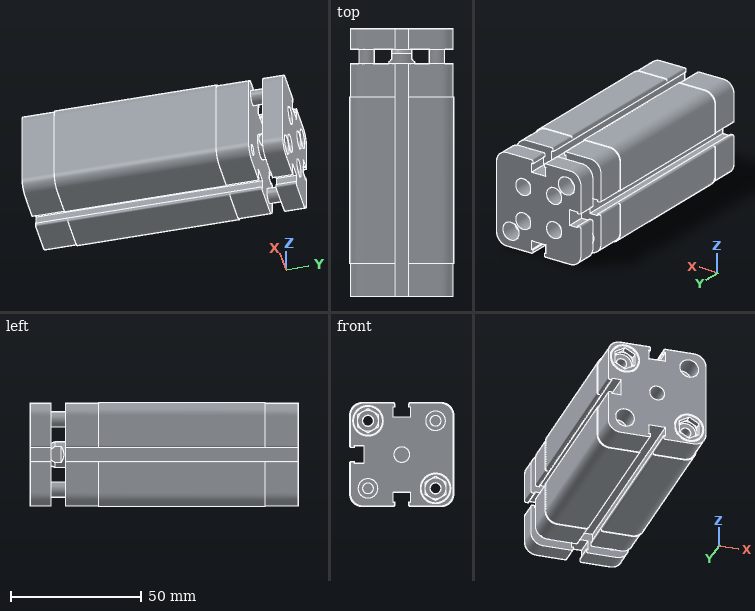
import cadquery as cq
import math


total_length = 103.0
cover_length = 12.8
plate_thickness = 8.0
gap_length = 5.5
barrel_length = total_length - 2 * cover_length - plate_thickness - gap_length

barrel_side = 40.1
cover_side = 39.6
corner_radius = 4.9
slot_floor = 14.5
slot_ledge = 18.2
slot_width = 6.6
slot_mouth = 5.4
lip_radius = 0.6
slot_angles = (0, 90, 180)

bolt_offset = 13.0
rod_offset = 13.5
rod_corners = ((1, 1), (-1, -1))
screw_corners = ((-1, 1), (1, -1))
all_corners = rod_corners + screw_corners
rod_diameter = 6.0
plate_hole_diameter = 7.5
mounting_hole_diameter = 7.0
mounting_hole_offset = 7.2
rod_bore_diameter = 7.5
rod_bore_depth = 9.3
pilot_diameter = 4.1
pilot_depth = 15.5
centre_hole_diameter = 6.0
centre_hole_depth = 10.3

screw_seat_diameter = 11.7
screw_head_diameter = 11.1
seat_gap_depth = 0.8
hexagon_flats = 8.0
hexagon_depth = 2.7
socket_floor_depth = 4.3

piston_diameter = 10.0
piston_flats = 7.8
piston_tip_diameter = 8.9
piston_tip_length = 1.5
flat_length = 3.8

rear_face = -total_length / 2
barrel_start = rear_face + cover_length
barrel_end = barrel_start + barrel_length
cover_front = barrel_end + cover_length
plate_back = cover_front + gap_length


def plane_at(y):
    """XZ work plane at station y; its local axes are +X and +Z, and it extrudes towards -Y."""
    return cq.Workplane("XZ", origin=(0, y, 0))


def bar_section(side, y_start, length):
    return (
        plane_at(y_start)
        .rect(side, side)
        .extrude(-length)
        .edges("|Y")
        .fillet(corner_radius)
    )


def rod(diameter, y_start, length, x=0, z=0):
    return plane_at(y_start).center(x, z).circle(diameter / 2).extrude(-length)


def corner_points(corners, offset):
    return [(offset * x, offset * z) for x, z in corners]


def slot_cutter(side, y_start, length):
    """T-slot in the +Z side, with rounded lips."""
    top = side / 2
    half_mouth = slot_mouth / 2
    half_slot = slot_width / 2
    half_round = half_mouth + lip_radius
    arc_inset = lip_radius * (1 - math.sqrt(0.5))
    return (
        plane_at(y_start)
        .moveTo(-half_slot, slot_floor)
        .lineTo(half_slot, slot_floor)
        .lineTo(half_slot, slot_ledge)
        .lineTo(half_mouth, slot_ledge)
        .lineTo(half_mouth, top - lip_radius)
        .threePointArc((half_mouth + arc_inset, top - arc_inset), (half_round, top))
        .lineTo(-half_round, top)
        .threePointArc((-half_mouth - arc_inset, top - arc_inset), (-half_mouth, top - lip_radius))
        .lineTo(-half_mouth, slot_ledge)
        .lineTo(-half_slot, slot_ledge)
        .close()
        .extrude(-length)
    )


def slotted_section(side, y_start, length):
    section = bar_section(side, y_start, length)
    cutter = slot_cutter(side, y_start, length)
    for angle in slot_angles:
        section = section.cut(cutter.rotate((0, 0, 0), (0, 1, 0), -angle))
    return section


def piston_rod():
    """Rod with a tapered tip and two wrench flats that run out at 45 degrees."""
    radius = piston_diameter / 2
    half_flats = piston_flats / 2
    shoulder = plate_back - piston_tip_length
    piston = (
        cq.Workplane("XY")
        .polyline([
            (0, cover_front),
            (radius, cover_front),
            (radius, shoulder),
            (piston_tip_diameter / 2, plate_back),
            (0, plate_back),
        ])
        .close()
        .revolve(360, (0, 0, 0), (0, 1, 0))
    )
    flat_start = plate_back - flat_length
    run_out = radius - half_flats
    flat = (
        cq.Workplane("XY")
        .polyline([
            (half_flats, plate_back),
            (half_flats, flat_start),
            (half_flats + run_out, flat_start - run_out),
            (half_flats + run_out, plate_back),
        ])
        .close()
        .extrude(radius, both=True)
    )
    return piston.cut(flat).cut(flat.mirror("YZ"))


def screw_socket(x, z):
    """Gap around the screw head, hexagon socket and the round bore below it."""
    gap = rod(screw_seat_diameter, rear_face, seat_gap_depth, x, z)
    gap = gap.cut(rod(screw_head_diameter, rear_face, seat_gap_depth, x, z))
    hexagon = (
        plane_at(rear_face)
        .center(x, z)
        .transformed(rotate=(0, 0, 30))
        .polygon(6, hexagon_flats / math.cos(math.pi / 6))
        .extrude(-hexagon_depth)
    )
    bore = rod(hexagon_flats, rear_face, socket_floor_depth, x, z)
    return gap.union(hexagon).union(bore)


result = slotted_section(barrel_side, barrel_start, barrel_length)
result = result.union(slotted_section(cover_side, rear_face, cover_length))
result = result.union(slotted_section(cover_side, barrel_end, cover_length))
result = result.union(slotted_section(cover_side, plate_back, plate_thickness))

result = result.union(piston_rod())
for x, z in corner_points(rod_corners, rod_offset):
    result = result.union(rod(rod_diameter, cover_front, gap_length, x, z))

result = result.cut(rod(centre_hole_diameter, rear_face, centre_hole_depth))
for x, z in corner_points(rod_corners, bolt_offset):
    result = result.cut(rod(rod_bore_diameter, rear_face, rod_bore_depth, x, z))
    result = result.cut(rod(pilot_diameter, rear_face, pilot_depth, x, z))

for x, z in corner_points(screw_corners, bolt_offset):
    result = result.cut(rod(pilot_diameter, rear_face, cover_front - rear_face, x, z))
    result = result.cut(screw_socket(x, z))
    result = result.cut(rod(plate_hole_diameter, plate_back, plate_thickness, x, z))

for x, z in corner_points(all_corners, mounting_hole_offset):
    result = result.cut(rod(mounting_hole_diameter, plate_back, plate_thickness, x, z))